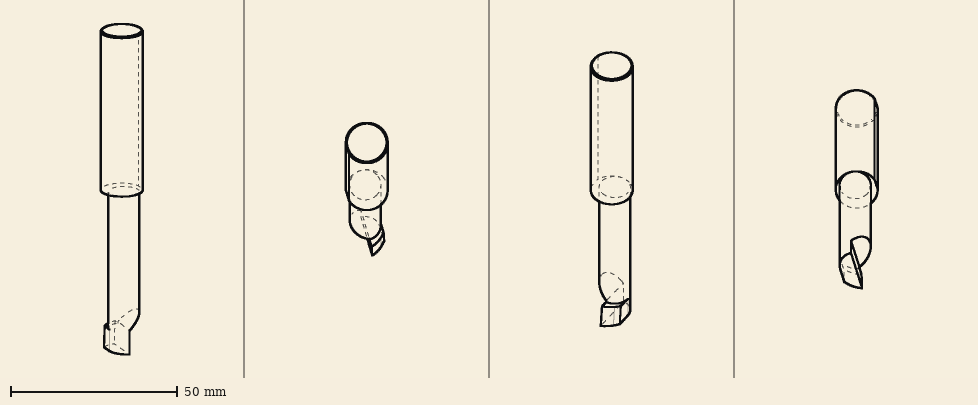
import cadquery as cq
import math

overall_length = 101.59
shank_diameter = 12.7
shank_length = 50.8
shank_chamfer = 0.4
shank_flat_depth = 0.25
neck_diameter = 9.4

tip_reach = 7.7
head_height = 7.5
relief_foot_height = 8.0
side_relief_angle = 5.0
end_slope_angle = 2.0
end_relief_angle = 5.0
flank_depth = 3.35
flank_setback = 1.85
flank_radius = 9.4
bevel_setback = 1.4

shank_radius = shank_diameter / 2
neck_radius = neck_diameter / 2
neck_axis_x = shank_radius - neck_radius
shank_bottom_z = overall_length - shank_length
tip_x = neck_axis_x - tip_reach
head_lean = head_height * math.tan(math.radians(side_relief_angle))


def make_shank():
    """Cylinder chamfered at the free end, with a shallow full-length flat on the +Y side."""
    shank = (
        cq.Workplane("XY", origin=(0, 0, shank_bottom_z))
        .circle(shank_radius)
        .extrude(shank_length)
        .faces(">Z")
        .chamfer(shank_chamfer)
    )
    flat_center_y = shank_radius - shank_flat_depth + shank_radius
    flat_cut = (
        cq.Workplane("XY", origin=(0, flat_center_y, shank_bottom_z))
        .rect(shank_diameter, shank_diameter)
        .extrude(shank_length)
    )
    return shank.cut(flat_cut)


def make_neck():
    """Round neck flush with the +X side of the shank, halved at the cutting face below a 45 degree slope."""
    neck = cq.Workplane("XY").center(neck_axis_x, 0).circle(neck_radius).extrude(shank_bottom_z)
    relief_size = neck_diameter
    relief = (
        cq.Workplane("YZ")
        .polyline([
            (0, 0),
            (0, relief_foot_height),
            (relief_size, relief_foot_height + relief_size),
            (relief_size, 0),
        ])
        .close()
        .extrude(shank_diameter, both=True)
    )
    return neck.cut(relief)


def head_section(z, lean):
    """Head outline at one height, with its cutting side moved by lean in +X."""
    flank_end_x = tip_x + flank_setback + lean
    return (
        cq.Workplane("XY", origin=(0, 0, z))
        .moveTo(tip_x + lean, 0)
        .radiusArc((flank_end_x, -flank_depth), -flank_radius)
        .lineTo(flank_end_x + bevel_setback, -neck_radius)
        .lineTo(neck_axis_x, -neck_radius)
        .lineTo(neck_axis_x, 0)
        .close()
    )


def make_head():
    """Cutting head leaning inward towards its top."""
    bottom = head_section(0, 0).wires().val()
    top = head_section(head_height, head_lean).wires().val()
    return cq.Workplane(cq.Solid.makeLoft([bottom, top], True))


def make_end_cut():
    """Block below the end face, which rises from the tip along both +X and -Y."""
    block_size = overall_length
    block = cq.Workplane("XY").box(block_size, block_size, block_size, centered=(True, True, False))
    return (
        block.translate((0, 0, -block_size))
        .rotate((0, 0, 0), (1, 0, 0), -end_relief_angle)
        .rotate((0, 0, 0), (0, 1, 0), -end_slope_angle)
        .translate((tip_x, 0, 0))
    )


result = make_shank().union(make_neck()).union(make_head()).cut(make_end_cut())